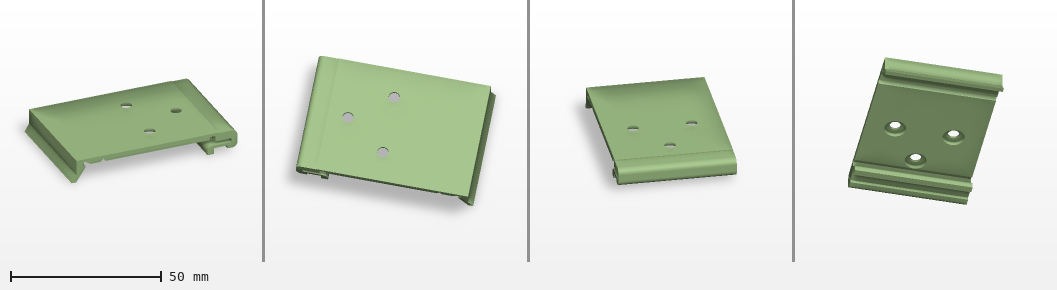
import cadquery as cq
import math

width = 40.0
length = 59.95
height = 8.05

plate_thickness = 2.15
plate_front = 58.2

step_drop = 0.25
step_place = 6.85
hook_radius = 2.0
hook_wall = 2.15
hook_bottom = 6.6
slot_top = 3.05
slot_bottom = 4.5
slot_lip = 7.9
groove_end = 10.0
groove_depth = 1.1
foot_end = 3.65
arm_bottom = 5.5
toe_start = 8.5
toe_end = 10.85
toe_bottom = 7.7

vee_center = 48.5
vee_depth = 1.1
vee_half_width = 0.9

relief_start = 53.2
relief_peak = (55.15, 0.85)
relief_corner = (56.0, 1.9)
lip_tip = (54.8, 2.8)
lip_bottom_start = 58.35
lip_bend = 5.35

hole_diameter = 3.8
hole_land = 0.8
counterbore_diameter = 7.3
hole_spacing = 19.85
single_hole_place = 13.75
pair_hole_place = 27.45


def at(distance, depth):
    """Profile point from its distance to the back end and depth below the top."""
    return (length / 2 - distance, height / 2 - depth)


def round_corner(sketch, center, radius, middle_angle):
    """Add a clockwise quarter arc around center; both are in distance and depth."""
    points = []
    for angle in (middle_angle, middle_angle + 45):
        turn = math.radians(angle)
        points.append(at(center[0] + radius * math.cos(turn), center[1] + radius * math.sin(turn)))
    return sketch.threePointArc(*points)


def hook_outline(sketch):
    """Trace the hook from its slot opening round to the step in the top face."""
    sketch = (
        sketch
        .lineTo(*at(groove_end, plate_thickness))
        .lineTo(*at(groove_end, groove_depth))
        .lineTo(*at(slot_lip, groove_depth))
        .lineTo(*at(slot_lip, slot_top))
        .lineTo(*at(hook_wall, slot_top))
        .lineTo(*at(hook_wall, slot_bottom))
        .lineTo(*at(toe_end - hook_radius, slot_bottom))
    )
    sketch = round_corner(sketch, (toe_end - hook_radius, slot_bottom + hook_radius), hook_radius, -45)
    sketch = (
        sketch
        .lineTo(*at(toe_end, toe_bottom))
        .lineTo(*at(toe_start, toe_bottom))
        .lineTo(*at(toe_start, arm_bottom))
        .lineTo(*at(foot_end, arm_bottom))
        .lineTo(*at(foot_end, hook_bottom))
        .lineTo(*at(hook_radius, hook_bottom))
    )
    sketch = round_corner(sketch, (hook_radius, hook_bottom - hook_radius), hook_radius, 135)
    sketch = sketch.lineTo(*at(0, step_drop + hook_radius))
    sketch = round_corner(sketch, (hook_radius, step_drop + hook_radius), hook_radius, 225)
    return sketch.lineTo(*at(step_place, step_drop))


def front_outline(sketch):
    """Trace the front face, snap lip, slanted relief and V groove."""
    return (
        sketch
        .lineTo(*at(plate_front, 0))
        .lineTo(*at(plate_front, lip_bend))
        .lineTo(*at(length, height))
        .lineTo(*at(lip_bottom_start, height))
        .lineTo(*at(*lip_tip))
        .lineTo(*at(*relief_corner))
        .lineTo(*at(*relief_peak))
        .lineTo(*at(relief_start, plate_thickness))
        .lineTo(*at(vee_center + vee_half_width, plate_thickness))
        .lineTo(*at(vee_center, plate_thickness - vee_depth))
        .lineTo(*at(vee_center - vee_half_width, plate_thickness))
    )


profile = cq.Workplane("YZ").moveTo(*at(step_place, 0))
profile = hook_outline(front_outline(profile)).close()
body = profile.extrude(width / 2, both=True)

hole_centers = [
    (0, length / 2 - single_hole_place),
    (-hole_spacing / 2, length / 2 - pair_hole_place),
    (hole_spacing / 2, length / 2 - pair_hole_place),
]
holes = (
    cq.Workplane("XY")
    .pushPoints(hole_centers)
    .circle(hole_diameter / 2)
    .extrude(height, both=True)
)

counterbores = (
    cq.Workplane("XY", origin=(0, 0, height / 2 - plate_thickness))
    .pushPoints(hole_centers)
    .circle(counterbore_diameter / 2)
    .extrude(plate_thickness - hole_land)
)

result = body.cut(holes).cut(counterbores)